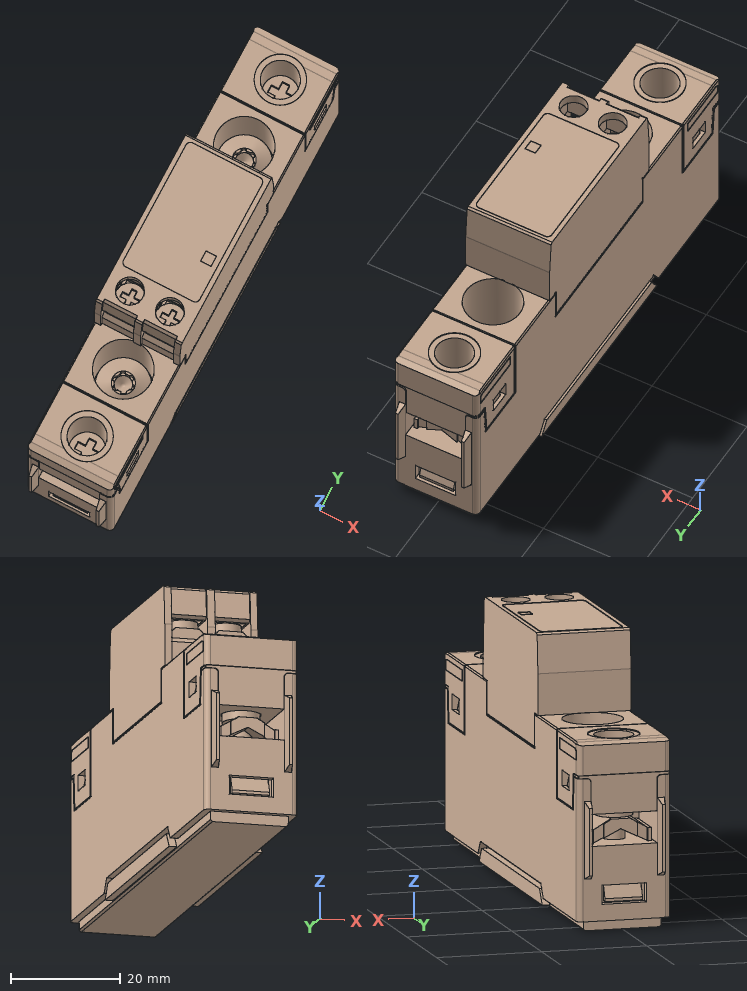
import cadquery as cq
import math

width = 17.8
half_width = width / 2
length = 94.0
height = 50.8
over = 0.9

housing_half_length = 44.9
housing_bottom = 2.0
housing_top = 35.4
end_corner_radius = 1.0
top_edge_chamfer = 0.3
end_bevel_drop = 0.5
end_bevel_run = 1.3
end_slope_drop = 0.1
end_slope_run = 1.7

skirt_half_length = 43.6
skirt_half_width = 7.4
skirt_chamfer = 0.4
notch_half_length = 21.9
notch_top = 4.5
notch_slope_run = 1.7
foot_half_length = 21.2
foot_bottom = 0.6
foot_top = 3.4

tower_base_half_length = 18.3
tower_top_half_length = 17.8
tower_taper_start = 43.2
tower_edge_chamfer = 0.4
tower_root = 28.9
tower_root_half_length = 16.2
label_half_width = 7.9
label_front = -9.6
label_back = 16.7
label_corner = 0.9
label_depth = 0.1
window_size = 2.2
window_x = 5.7
window_y = -1.1
window_depth = 0.1

cell_x = 4.1
cell_half_width = 3.4
cell_panel_depth = 0.5
cell_open_bottom = 41.3
cell_open_top = 44.7
cell_lip = 0.75
cell_sill = 1.1
cell_back = -10.15
cell_screw_y = -13.3
cell_hole_radius = 2.6
cell_shaft_top = 48.9
cell_shaft_half_length = 3.0
cell_head_radius = 2.9
cell_top_bevel = 0.6
cell_clamp_half_width = 3.0
cell_clamp_top = 43.05
cell_clamp_side_top = 42.3
cell_clamp_flat_half_width = 2.3
cell_clamp_front = -16.9

screw_y = 37.9
screw_hole_radius = 3.7
screw_head_radius = 3.5
screw_head_bottom = 20.4
screw_head_top = 23.7
screw_shank_radius = 2.1
screw_rim_radius = 4.8
screw_rim_depth = 0.2
mouth_half_width = 6.3
mouth_bottom = 16.0
mouth_top = 21.9
mouth_back = 32.7
clamp_front = 42.6
clamp_back = 33.2
clamp_wing_setback = 0.5
clamp_half_width = 5.2
clamp_centre_half_width = 3.2
clamp_ridge_half_width = 1.8
clamp_side_top = 18.4
clamp_centre_top = 19.55
clamp_ridge_bottom = 18.5
guide_outer = 5.8

fixing_y = 23.7
fixing_hole_radius = 5.6
fixing_head_radius = 5.2
fixing_floor = 18.8
fixing_head_rim = 22.6
fixing_head_flat = 24.4
torx_radius = 1.7
torx_lobe_radius = 0.52
torx_depth = 1.4
torx_lobes = 6

recess_depth = 0.9
screw_cross_half_span = 2.3
screw_cross_half_arm = 0.75
cell_cross_half_span = 1.8
cell_cross_half_arm = 0.52

tongue_depth = 0.3
tongue_corner = 0.75
cap_gap_bottom = 28.7
cap_gap_top = 29.2
blade_x = 7.0
blade_thickness = 1.3
blade_bottom = 10.0
blade_top = 24.4
blade_taper = 0.9
blade_tip_inset = 0.4
latch_half_width = 4.2
latch_bottom = 5.1
latch_top = 8.65
latch_depth = 1.4
latch_nose_setback = 0.4
latch_nose_top = 6.0
latch_nose_gap = 0.4
latch_margin = 0.7

seam_depth = 0.2
seam_width = 0.5
top_seam_width = 0.3
tower_seam_width = 0.3
cap_inner = 30.7
cap_tab_outer = 42.5
cap_tab_taper = 0.6
cap_bottom = 22.6
marker_outer = 43.7
marker_inner = 32.7
marker_bottom = 32.1
marker_top = 34.1
marker_corner = 0.7
marker_depth = 0.1
window_outer = 39.1
window_inner = 34.5
window_bottom = 25.5
window_top = 28.4
side_window_depth = 1.5
window_margin = 0.7
nose_top_depth = 1.0
nose_bottom_depth = 0.75


def box(x0, x1, y0, y1, z0, z1):
    """Block between two opposite corners."""
    return cq.Workplane("XY").box(x1 - x0, y1 - y0, z1 - z0, centered=False).translate((x0, y0, z0))


def yz_prism(points, x0, x1):
    """Outline in Y and Z, stretched along X."""
    return cq.Workplane("YZ").workplane(offset=x0).polyline(points).close().extrude(x1 - x0)


def xz_prism(points, y0, y1):
    """Outline in X and Z, stretched along Y."""
    return cq.Workplane("XZ", origin=(0, y0, 0)).polyline(points).close().extrude(y0 - y1)


def cylinder(x, y, radius, z0, z1):
    """Upright cylinder."""
    return cq.Workplane("XY", origin=(x, y, z0)).circle(radius).extrude(z1 - z0)


def both_ends(shape):
    """The shape together with its mirror image at the other end."""
    return shape.union(shape.mirror("XZ"))


def both_sides(shape):
    """The shape together with its mirror image on the other side."""
    return shape.union(shape.mirror("YZ"))


def mirrored_outline(points):
    """Close a left-right symmetric outline given only its positive half."""
    return points + [(-u, v) for u, v in reversed(points)]


def cross(x, y, half_span, half_arm, top):
    """Cutter for a cross recess below a screw head's top."""
    bottom = top - recess_depth
    bar = box(x - half_span, x + half_span, y - half_arm, y + half_arm, bottom, top + over)
    return bar.union(box(x - half_arm, x + half_arm, y - half_span, y + half_span, bottom, top + over))


def make_housing():
    bevel_y = housing_half_length - end_bevel_run
    slope_z = housing_top - end_slope_drop
    profile = mirrored_outline([
        (housing_half_length, housing_bottom),
        (housing_half_length, slope_z - end_bevel_drop),
        (bevel_y, slope_z),
        (bevel_y - end_slope_run, housing_top),
    ])
    body = yz_prism(profile, -half_width, half_width)
    body = body.faces(">Z").edges("|Y").chamfer(top_edge_chamfer)
    return body.edges("|Z and (>Y or <Y)").fillet(end_corner_radius)


def trapezoid(half_length, bottom, top):
    """Side outline whose ends slope like those of the base notch."""
    slope = notch_slope_run * (top - bottom) / (notch_top - housing_bottom)
    return mirrored_outline([(half_length, bottom), (half_length - slope, top)])


def add_base(body):
    notch_outline = trapezoid(notch_half_length, housing_bottom, notch_top)
    notch = yz_prism(notch_outline, skirt_half_width, half_width + over)
    foot_outline = trapezoid(foot_half_length, foot_bottom, foot_top)
    foot = yz_prism(foot_outline, skirt_half_width - over, half_width)
    skirt = box(-skirt_half_width, skirt_half_width, -skirt_half_length, skirt_half_length,
                0, housing_bottom + over)
    skirt = skirt.faces("<Z").edges("|Y").chamfer(skirt_chamfer)
    return body.cut(both_sides(notch)).union(skirt).union(both_sides(foot))


def cut_cap_seams(body):
    inside = half_width - seam_depth
    outside = half_width + over
    tab_foot = cap_tab_outer - cap_tab_taper
    tab_edge = yz_prism([
        (cap_tab_outer, cap_gap_top),
        (tab_foot, cap_bottom),
        (tab_foot - seam_width, cap_bottom),
        (cap_tab_outer - seam_width, cap_gap_top),
    ], inside, outside)
    bottom_edge = box(inside, outside, cap_inner, tab_foot, cap_bottom - seam_depth, cap_bottom)
    inner_edge = box(inside, outside, cap_inner, cap_inner + seam_width,
                     cap_bottom - seam_depth, housing_top + over)
    seam = tab_edge.union(bottom_edge).union(inner_edge)
    side_gap = box(inside, outside, cap_tab_outer - seam_width, length / 2, cap_gap_bottom, cap_gap_top)
    end_gap = box(-half_width - over, half_width + over, housing_half_length - tongue_depth, length / 2,
                  cap_gap_bottom, cap_gap_top)
    top_seam = box(-half_width - over, half_width + over, cap_inner, cap_inner + top_seam_width,
                   housing_top - seam_width, housing_top + over)
    cutter = both_sides(seam.union(side_gap)).union(end_gap).union(top_seam)
    return body.cut(both_ends(cutter))


def cut_side_details(body):
    outside = half_width + over
    marker = yz_prism([
        (marker_outer, marker_bottom),
        (marker_outer, marker_top - marker_corner / 2),
        (marker_outer - marker_corner, marker_top),
        (marker_inner, marker_top),
        (marker_inner, marker_bottom),
    ], half_width - marker_depth, outside)
    window = box(half_width - side_window_depth, outside, window_inner, window_outer, window_bottom, window_top)
    nose_height = (window_bottom + window_top) / 2
    nose = xz_prism([
        (half_width - side_window_depth, window_bottom),
        (half_width - side_window_depth, window_top),
        (half_width - nose_top_depth, nose_height),
        (half_width - nose_bottom_depth, window_bottom),
    ], window_inner + window_margin, window_outer - window_margin)
    return body.cut(both_ends(both_sides(marker.union(window.cut(nose)))))


def make_power_clamp():
    """Bent clamping plate whose raised centre stands slightly proud of its wings."""
    wing_front = clamp_front - clamp_wing_setback
    plate = xz_prism(mirrored_outline([
        (clamp_half_width, mouth_bottom),
        (clamp_half_width, clamp_side_top),
        (clamp_ridge_half_width, screw_head_bottom),
    ]), clamp_back, wing_front)
    centre = xz_prism(mirrored_outline([
        (clamp_centre_half_width, mouth_bottom),
        (clamp_centre_half_width, clamp_centre_top),
        (clamp_ridge_half_width, screw_head_bottom),
    ]), clamp_back, clamp_front)
    underside = xz_prism([
        (-clamp_half_width, mouth_bottom),
        (clamp_half_width, mouth_bottom),
        (0, clamp_ridge_bottom),
    ], clamp_back - over, clamp_front + over)
    guide = box(clamp_half_width, guide_outer, clamp_back, clamp_front, mouth_bottom, clamp_side_top)
    return plate.union(centre).cut(underside).union(both_sides(guide))


def make_power_screw():
    head = cylinder(0, screw_y, screw_head_radius, screw_head_bottom, screw_head_top)
    head = head.cut(cross(0, screw_y, screw_cross_half_span, screw_cross_half_arm, screw_head_top))
    shank = cylinder(0, screw_y, screw_shank_radius, mouth_bottom - over, screw_head_bottom)
    return head.union(shank)


def add_power_terminals(body):
    mouth = box(-mouth_half_width, mouth_half_width, mouth_back, length / 2, mouth_bottom, mouth_top)
    hole = cylinder(0, screw_y, screw_hole_radius, mouth_bottom, housing_top + over)
    rim = cylinder(0, screw_y, screw_rim_radius, housing_top - screw_rim_depth, housing_top + over)
    body = body.cut(both_ends(mouth.union(hole).union(rim)))
    return body.union(both_ends(make_power_clamp().union(make_power_screw())))


def make_fixing_screw():
    """Domed head with a six-lobe recess that ends in a shallow cone."""
    dome = (
        cq.Workplane("XZ", origin=(0, fixing_y, 0))
        .moveTo(0, fixing_floor)
        .lineTo(fixing_head_radius, fixing_floor)
        .lineTo(fixing_head_radius, fixing_head_rim)
        .lineTo(torx_radius + torx_lobe_radius, fixing_head_flat)
        .lineTo(0, fixing_head_flat)
        .close()
        .revolve(360, (0, 0, 0), (0, 1, 0))
    )
    torx_floor = fixing_head_flat - torx_depth
    torx = cylinder(0, fixing_y, torx_radius, torx_floor, fixing_head_flat + over)
    for lobe in range(torx_lobes):
        angle = 2 * math.pi * lobe / torx_lobes
        lobe_x = torx_radius * math.cos(angle)
        lobe_y = fixing_y + torx_radius * math.sin(angle)
        torx = torx.union(cylinder(lobe_x, lobe_y, torx_lobe_radius, torx_floor, fixing_head_flat + over))
    tip = cq.Solid.makeCone(0, torx_radius, torx_depth, pnt=cq.Vector(0, fixing_y, torx_floor - torx_depth))
    return dome.cut(torx).cut(cq.Workplane(tip))


def add_fixing_screws(body):
    hole = cylinder(0, fixing_y, fixing_hole_radius, fixing_floor, housing_top + over)
    return body.cut(both_ends(hole)).union(both_ends(make_fixing_screw()))


def make_blade():
    """Upright blade on the end face, tapering towards its tip."""
    blade = yz_prism([
        (housing_half_length - over, blade_bottom),
        (housing_half_length, blade_bottom),
        (length / 2, blade_bottom + blade_taper),
        (length / 2, blade_top - blade_taper),
        (housing_half_length, blade_top),
        (housing_half_length - over, blade_top),
    ], blade_x - blade_thickness / 2, blade_x + blade_thickness / 2)
    half_thickness = blade_thickness / 2
    half_tip = half_thickness - blade_tip_inset
    plan = (
        cq.Workplane("XY", origin=(blade_x, 0, blade_bottom))
        .polyline(mirrored_outline([
            (half_thickness, housing_half_length - over),
            (half_thickness, housing_half_length),
            (half_tip, length / 2),
        ]))
        .close()
        .extrude(blade_top - blade_bottom)
    )
    return blade.intersect(plan)


def add_end_details(body):
    shoulder_x = mouth_half_width + tongue_corner
    shoulder_z = cap_gap_bottom - tongue_corner
    arc_x = mouth_half_width + tongue_corner * (1 - math.cos(math.pi / 4))
    arc_z = shoulder_z + tongue_corner * math.sin(math.pi / 4)
    tongue = (
        cq.Workplane("XZ", origin=(0, length / 2, 0))
        .moveTo(-mouth_half_width, mouth_bottom)
        .lineTo(mouth_half_width, mouth_bottom)
        .lineTo(mouth_half_width, shoulder_z)
        .threePointArc((arc_x, arc_z), (shoulder_x, cap_gap_bottom))
        .lineTo(-shoulder_x, cap_gap_bottom)
        .threePointArc((-arc_x, arc_z), (-mouth_half_width, shoulder_z))
        .close()
        .extrude(length / 2 - housing_half_length + tongue_depth)
    )
    latch_back = housing_half_length - latch_depth
    latch = box(-latch_half_width, latch_half_width, latch_back, length / 2, latch_bottom, latch_top)
    ramp = yz_prism([
        (latch_back, latch_top),
        (housing_half_length - latch_nose_setback, latch_nose_top),
        (housing_half_length - latch_nose_setback, latch_bottom + latch_nose_gap),
        (latch_back, latch_bottom + latch_nose_gap),
    ], latch_margin - latch_half_width, latch_half_width - latch_margin)
    body = body.cut(both_ends(tongue.union(latch.cut(ramp))))
    return body.union(both_ends(both_sides(make_blade())))


def make_tower_block():
    block = yz_prism(mirrored_outline([
        (tower_base_half_length, housing_top),
        (tower_base_half_length, tower_taper_start),
        (tower_top_half_length, height),
    ]), -half_width, half_width)
    block = block.faces(">Z").edges("|X").chamfer(tower_edge_chamfer)
    root = box(-half_width, half_width, -tower_root_half_length, tower_root_half_length,
               tower_root, housing_top + over)
    return block.union(root)


def cut_label(tower):
    """Shallow label field with a small square window sunk into it."""
    floor = height - label_depth
    label = box(-label_half_width, label_half_width, label_front, label_back, floor, height + over)
    label = label.edges("|Z").fillet(label_corner)
    window = box(window_x - window_size / 2, window_x + window_size / 2,
                 window_y - window_size / 2, window_y + window_size / 2, floor - window_depth, height)
    return tower.cut(label).cut(window)


def cut_control_cell(tower, x):
    """Sunken front panel, wire opening and screw shaft of one control terminal."""
    left = x - cell_half_width
    right = x + cell_half_width
    front = -tower_base_half_length - over
    base_y = cell_panel_depth - tower_base_half_length
    top_y = cell_panel_depth - tower_top_half_length
    panel = yz_prism([
        (front, housing_top),
        (base_y, housing_top),
        (base_y, tower_taper_start),
        (top_y, height - cell_top_bevel),
        (top_y + cell_top_bevel, height),
        (top_y + cell_top_bevel, height + over),
        (front, height + over),
    ], left, right)
    opening = yz_prism([
        (front, cell_open_bottom - cell_sill),
        (base_y, cell_open_bottom - cell_sill),
        (base_y + cell_sill, cell_open_bottom),
        (cell_back, cell_open_bottom),
        (cell_back, cell_open_top),
        (base_y + cell_lip, cell_open_top),
        (base_y, cell_open_top + cell_lip),
        (front, cell_open_top + cell_lip),
    ], left, right)
    hole = cylinder(x, cell_screw_y, cell_hole_radius, cell_open_bottom, height + over)
    shaft = box(x - cell_clamp_half_width, x + cell_clamp_half_width, cell_screw_y - cell_shaft_half_length,
                cell_screw_y + cell_shaft_half_length, cell_open_bottom, cell_shaft_top)
    return tower.cut(panel).cut(opening).cut(hole).cut(shaft)


def make_control_screw(x):
    """Clamping block with the screw head on top of it."""
    clamp = xz_prism([
        (x - cell_clamp_half_width, cell_open_bottom - over),
        (x - cell_clamp_half_width, cell_clamp_side_top),
        (x - cell_clamp_flat_half_width, cell_clamp_top),
        (x + cell_clamp_flat_half_width, cell_clamp_top),
        (x + cell_clamp_half_width, cell_clamp_side_top),
        (x + cell_clamp_half_width, cell_open_bottom - over),
    ], cell_clamp_front, cell_back)
    head = cylinder(x, cell_screw_y, cell_head_radius, cell_clamp_top, cell_open_top)
    recess = cross(x, cell_screw_y, cell_cross_half_span, cell_cross_half_arm, cell_open_top)
    return clamp.union(head).cut(recess)


def make_tower():
    tower = make_tower_block()
    for x in (-cell_x, cell_x):
        tower = cut_control_cell(tower, x)
        tower = tower.union(make_control_screw(x))
    return cut_label(tower)


def cut_tower_seam(body):
    inside = half_width - seam_depth
    outside = half_width + over
    inner = tower_root_half_length - tower_seam_width
    side = box(inside, outside, inner, tower_root_half_length, tower_root, housing_top)
    bottom = box(inside, outside, -inner, inner, tower_root, tower_root + tower_seam_width)
    return body.cut(both_sides(both_ends(side).union(bottom)))


body = add_base(make_housing())
body = cut_cap_seams(body)
body = cut_side_details(body)
body = add_fixing_screws(body)
body = add_power_terminals(body)
body = add_end_details(body)
result = cut_tower_seam(body.union(make_tower()))